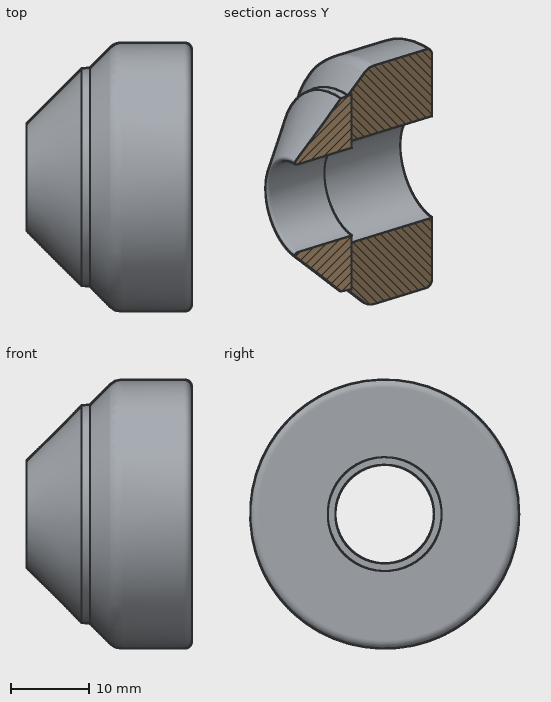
import cadquery as cq
import math

overall_length = 21.22
cone_slope = math.tan(math.radians(45))

tip_bore_radius = 6.3
lip_radius = 0.4
tip_rim_radius = 13.95
tip_length = 8.8
tip_rim_draft = math.tan(math.radians(6))

housing_radius = 34.5 / 2
housing_bore_radius = 14.6 / 2
housing_cone_offset = 5.9
shoulder_fillet = 2.0
back_fillet = 1.0

diagonal = math.sqrt(0.5)
lip_center_radius = tip_bore_radius + lip_radius
cone_start_x = lip_radius * (1 - diagonal)
cone_start_radius = lip_center_radius + lip_radius * diagonal
rim_start_x = cone_start_x + (tip_rim_radius - cone_start_radius) / cone_slope

rim_end_radius = tip_rim_radius + tip_rim_draft * (tip_length - rim_start_x)

mouth_x = (tip_rim_radius - tip_rim_draft * rim_start_x - housing_cone_offset) / (cone_slope - tip_rim_draft)
mouth_radius = housing_cone_offset + cone_slope * mouth_x
shoulder_x = (housing_radius - housing_cone_offset) / cone_slope


def revolve_about_x(profile):
    """Turn a closed profile, drawn as (x, radius), fully around the X axis."""
    return profile.close().revolve(360, (0, 0, 0), (1, 0, 0))


def make_tip():
    profile = (
        cq.Workplane("XY")
        .moveTo(lip_radius, tip_bore_radius)
        .threePointArc((0, lip_center_radius), (cone_start_x, cone_start_radius))
        .lineTo(rim_start_x, tip_rim_radius)
        .lineTo(tip_length, rim_end_radius)
        .lineTo(tip_length, tip_bore_radius)
    )
    return revolve_about_x(profile)


def make_housing():
    profile = (
        cq.Workplane("XY")
        .moveTo(tip_length, housing_bore_radius)
        .lineTo(tip_length, rim_end_radius)
        .lineTo(mouth_x, mouth_radius)
        .lineTo(shoulder_x, housing_radius)
        .lineTo(overall_length, housing_radius)
        .lineTo(overall_length, housing_bore_radius)
    )
    body = revolve_about_x(profile)
    shoulder_edge = cq.selectors.NearestToPointSelector((shoulder_x, 0, 0))
    body = body.edges(shoulder_edge).fillet(shoulder_fillet)
    back_outer_edge = cq.selectors.RadiusNthSelector(-1)
    return body.faces(">X").edges(back_outer_edge).fillet(back_fillet)


tip = make_tip()
housing = make_housing()

result = cq.Compound.makeCompound([tip.val(), housing.val()])